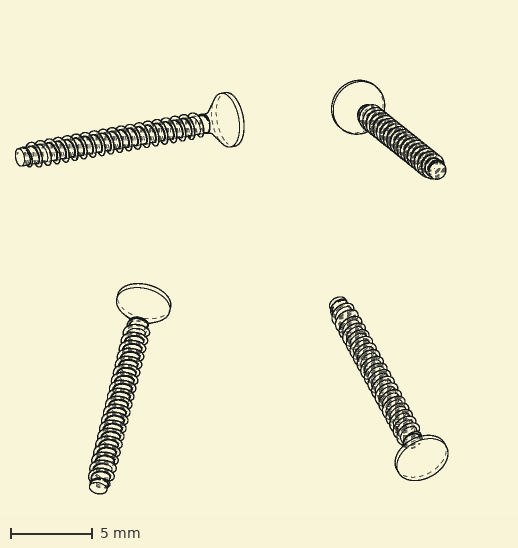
import cadquery as cq
import math


screw_length = 15.0

head_radius = 3.35 / 2
head_rim = 0.33
cone_end_radius = 0.78
cone_end_depth = head_rim + head_radius - cone_end_radius

neck_radius = 0.61
fillet_end_depth = 1.66
neck_end_depth = 1.79

core_radius = 0.55
crest_radius = 0.80
pitch = 0.64
tip_dish_depth = 0.05
thread_start_depth = 1.72
full_height_start = 2.36
full_height_end = 14.05
thread_end_depth = 14.86
plus_x_depth = 13.89

root_embed = 0.01
root_radius = core_radius - root_embed
knee_radius = 0.585
crest_half_width = 0.015
head_side_knee = 0.08
head_side_root = 0.27
tip_side_knee = 0.06
tip_side_root = 0.12
end_share = 0.02
points_per_turn = 16


def make_body():
    """Head, filleted neck and dished core as one revolved outline."""
    return (
        cq.Workplane("XY")
        .lineTo(head_radius, 0)
        .lineTo(head_radius, -head_rim)
        .lineTo(cone_end_radius, -cone_end_depth)
        .tangentArcPoint((neck_radius, -fillet_end_depth), relative=False)
        .lineTo(neck_radius, -neck_end_depth)
        .lineTo(core_radius, -neck_end_depth)
        .lineTo(core_radius, -screw_length)
        .lineTo(0, -screw_length + tip_dish_depth)
        .close()
        .revolve(360, (0, 0, 0), (0, 1, 0))
    )


def height_share(depth):
    """Thread height at a depth, as a share of the full height, fading at both ends."""
    run_in = (depth - thread_start_depth) / (full_height_start - thread_start_depth)
    run_out = (thread_end_depth - depth) / (thread_end_depth - full_height_end)
    return end_share + (1 - end_share) * min(1, run_in, run_out)


def helical_edge(offset, corner_radius):
    """Right-hand helical edge through one profile corner, offset toward the head."""
    thread_length = thread_end_depth - thread_start_depth
    steps = math.ceil(thread_length / pitch * points_per_turn)
    points = []
    for i in range(steps + 1):
        depth = thread_start_depth + thread_length * i / steps
        angle = 2 * math.pi * (depth - plus_x_depth) / pitch
        radius = root_radius + height_share(depth) * (corner_radius - root_radius)
        points.append(cq.Vector(radius * math.cos(angle), offset - depth, radius * math.sin(angle)))
    return cq.Edge.makeSpline(points)


def make_thread():
    """Closed thread solid: ruled faces between neighbouring helical edges, capped at both ends."""
    corners = [
        (-tip_side_root, root_radius),
        (-tip_side_knee, knee_radius),
        (-crest_half_width, crest_radius),
        (crest_half_width, crest_radius),
        (head_side_knee, knee_radius),
        (head_side_root, root_radius),
    ]
    edges = [helical_edge(offset, radius) for offset, radius in corners]
    faces = [cq.Face.makeRuledSurface(edges[i - 1], edges[i]) for i in range(len(edges))]
    for end in (0, 1):
        cap = cq.Wire.makePolygon([edge.positionAt(end) for edge in edges], close=True)
        faces.append(cq.Face.makeFromWires(cap))
    return cq.Workplane(cq.Solid.makeSolid(cq.Shell.makeShell(faces)))


result = make_body().union(make_thread())